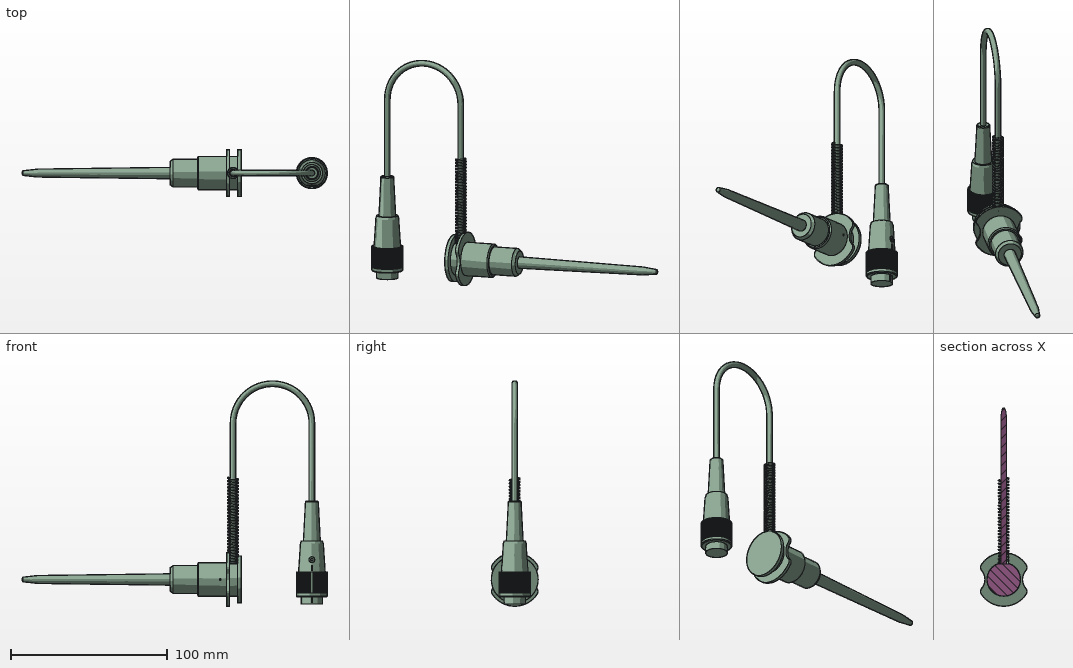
import cadquery as cq
import math


TIP_LENGTH = 10.1
TIP_END_DIA = 3.1
TIP_ROOT_DIA = 5.3
TIP_DOME_HEIGHT = 0.5
SHANK_DIA = 7.4
SHANK_START = 92.3

NOSE_START = 94.5
NOSE_DIA = 18.0
NOSE_CHAMFER_LENGTH = 2.0
NOSE_FACE_DIA = 15.0
BARREL_START = 111.8
BARREL_DIA = 21.5
BARREL_CHAMFER = 0.8
MARK_HOLE_DIA = 1.0
MARK_HOLE_X = 126.4
MARK_HOLE_DEPTH = 1.0

PLATE_START = 130.5
PLATE_THICKNESS = 2.0
PLATE_DIA = 34.3
SCALLOP_RADIUS = 9.0
SCALLOP_BOTTOM = 12.0
PLATE_CORNER_RADIUS = 3.0
DISC_START = 137.5
HOUSING_END = 139.8
DISC_DIA = 30.0

CABLE_DIA = 3.7
CABLE_X = 134.5
CABLE_BEND_Z = 99.7
SEAT_DIA = 7.2
SEAT_Z = 10.0
SPRING_WIRE_DIA = 1.0
SPRING_OUTER_DIA = 7.0
SPRING_TOP = 65.2
SPRING_TURNS = 27

CONNECTOR_X = 184.8
BOOT_TOP = 50.0
BOOT_TOP_DIA = 8.4
BOOT_BASE_DIA = 10.9
BOOT_CHAMFER = 0.5
SHELL_TOP = 24.5
SHELL_TOP_DIA = 13.6
SHELL_SHOULDER_DIA = 14.8
SHELL_SHOULDER_DROP = 1.8
SHELL_BASE = 4.7
SHELL_BASE_DIA = 17.1
PLUG_DIA = 13.8
PLUG_END = -15.8
SCREW_Z = 12.7
SCREW_HOLE_DIA = 3.7
SCREW_DEPTH = 0.4
SCREW_SOCKET_DIA = 1.5
SCREW_SOCKET_DEPTH = 1.4
SHELL_SLOT_Z = 7.4
SHELL_SLOT_HEIGHT = 3.3
PLUG_SLOT_Z = -12.8
PLUG_SLOT_HEIGHT = 3.5
SLOT_WIDTH = 0.5
SLOT_DEPTH = 0.5

RING_DIA = 19.9
RING_BOTTOM = -11.0
RING_CHAMFER = 0.5
KNURL_BOTTOM = -8.5
KNURL_COUNT = 84
KNURL_DEPTH = 0.5


def turned(profile, axis="X"):
    """Solid of revolution about the X or Z axis from (position along the axis, radius) points."""
    points = [(profile[0][0], 0)] + profile + [(profile[-1][0], 0)]
    if axis == "X":
        return cq.Workplane("XY").polyline(points).close().revolve(360, (0, 0), (1, 0))
    upright_points = [(radius, height) for height, radius in points]
    return cq.Workplane("XZ").polyline(upright_points).close().revolve(360, (0, 0), (0, 1))


def make_probe():
    dome_radius = (TIP_END_DIA**2 / 4 + TIP_DOME_HEIGHT**2) / (2 * TIP_DOME_HEIGHT)
    half_angle = math.asin(TIP_END_DIA / 2 / dome_radius) / 2
    dome_middle_x = dome_radius * (1 - math.cos(half_angle))
    dome_middle_radius = dome_radius * math.sin(half_angle)
    return (
        cq.Workplane("XY")
        .moveTo(TIP_DOME_HEIGHT, TIP_END_DIA / 2)
        .lineTo(TIP_LENGTH, TIP_ROOT_DIA / 2)
        .lineTo(SHANK_START, SHANK_DIA / 2)
        .lineTo(NOSE_START, SHANK_DIA / 2)
        .lineTo(NOSE_START, 0)
        .lineTo(0, 0)
        .threePointArc((dome_middle_x, dome_middle_radius), (TIP_DOME_HEIGHT, TIP_END_DIA / 2))
        .close()
        .revolve(360, (0, 0), (1, 0))
    )


def make_finger_plate():
    scallop_offset = SCALLOP_BOTTOM + SCALLOP_RADIUS
    scallops = (
        cq.Workplane("YZ", origin=(PLATE_START, 0, 0))
        .pushPoints([(-scallop_offset, 0), (scallop_offset, 0)])
        .circle(SCALLOP_RADIUS)
        .extrude(PLATE_THICKNESS)
    )
    plate = cq.Workplane("YZ", origin=(PLATE_START, 0, 0)).circle(PLATE_DIA / 2).extrude(PLATE_THICKNESS)
    corner_y = (PLATE_DIA**2 / 4 - SCALLOP_RADIUS**2 + scallop_offset**2) / (2 * scallop_offset)
    corner_z = math.sqrt(PLATE_DIA**2 / 4 - corner_y**2)
    corner_box = cq.selectors.BoxSelector(
        (PLATE_START, -PLATE_DIA / 2, -corner_z - PLATE_CORNER_RADIUS),
        (PLATE_START + PLATE_THICKNESS, PLATE_DIA / 2, corner_z + PLATE_CORNER_RADIUS),
    )
    return plate.cut(scallops).edges("|X").edges(corner_box).fillet(PLATE_CORNER_RADIUS)


def make_housing():
    body = turned([
        (NOSE_START, NOSE_FACE_DIA / 2),
        (NOSE_START + NOSE_CHAMFER_LENGTH, NOSE_DIA / 2),
        (BARREL_START, NOSE_DIA / 2),
        (BARREL_START, BARREL_DIA / 2 - BARREL_CHAMFER),
        (BARREL_START + BARREL_CHAMFER, BARREL_DIA / 2),
        (DISC_START, BARREL_DIA / 2),
        (DISC_START, DISC_DIA / 2),
        (HOUSING_END, DISC_DIA / 2),
    ])
    body = body.union(make_finger_plate())
    spring_seat = (
        cq.Workplane("XY", origin=(CABLE_X, 0, SEAT_Z)).circle(SEAT_DIA / 2).extrude(PLATE_DIA / 2)
    )
    mark_hole = (
        cq.Workplane("XZ", origin=(MARK_HOLE_X, -BARREL_DIA / 2 + MARK_HOLE_DEPTH, 0))
        .circle(MARK_HOLE_DIA / 2)
        .extrude(BARREL_DIA)
    )
    return body.cut(spring_seat).cut(mark_hole)


def make_cable():
    bend_top = CABLE_BEND_Z + (CONNECTOR_X - CABLE_X) / 2
    path = (
        cq.Workplane("XZ")
        .moveTo(CABLE_X, SEAT_Z)
        .lineTo(CABLE_X, CABLE_BEND_Z)
        .threePointArc(((CABLE_X + CONNECTOR_X) / 2, bend_top), (CONNECTOR_X, CABLE_BEND_Z))
        .lineTo(CONNECTOR_X, BOOT_TOP)
    )
    return cq.Workplane("XY", origin=(CABLE_X, 0, SEAT_Z)).circle(CABLE_DIA / 2).sweep(path)


def make_spring():
    coil_radius = (SPRING_OUTER_DIA - SPRING_WIRE_DIA) / 2
    coil_height = SPRING_TOP - SEAT_Z - SPRING_WIRE_DIA
    helix = cq.Wire.makeHelix(coil_height / SPRING_TURNS, coil_height, coil_radius)
    spring = (
        cq.Workplane("XZ", origin=(coil_radius, 0, 0))
        .circle(SPRING_WIRE_DIA / 2)
        .sweep(cq.Workplane(helix), isFrenet=True)
    )
    return spring.rotate((0, 0, 0), (0, 0, 1), 180).translate((CABLE_X, 0, SEAT_Z + SPRING_WIRE_DIA / 2))


def front_slot(outer_radius, center_z, height):
    """Cutter for a shallow slot in the -Y side of a turned connector part."""
    return cq.Workplane("XY").box(SLOT_WIDTH, 2 * SLOT_DEPTH, height).translate((0, -outer_radius, center_z))


def make_connector():
    body = turned([
        (PLUG_END, PLUG_DIA / 2),
        (SHELL_BASE, PLUG_DIA / 2),
        (SHELL_BASE, SHELL_BASE_DIA / 2),
        (SHELL_TOP - SHELL_SHOULDER_DROP, SHELL_SHOULDER_DIA / 2),
        (SHELL_TOP, SHELL_TOP_DIA / 2),
        (SHELL_TOP, BOOT_BASE_DIA / 2),
        (BOOT_TOP - BOOT_CHAMFER, BOOT_TOP_DIA / 2),
        (BOOT_TOP, BOOT_TOP_DIA / 2 - BOOT_CHAMFER),
    ], "Z")

    def shell_radius(z):
        height_share = (z - SHELL_BASE) / (SHELL_TOP - SHELL_SHOULDER_DROP - SHELL_BASE)
        return (SHELL_BASE_DIA + height_share * (SHELL_SHOULDER_DIA - SHELL_BASE_DIA)) / 2

    for diameter, depth in [(SCREW_HOLE_DIA, SCREW_DEPTH), (SCREW_SOCKET_DIA, SCREW_SOCKET_DEPTH)]:
        sunk_floor = (0, depth - shell_radius(SCREW_Z), SCREW_Z)
        body = body.cut(cq.Workplane("XZ", origin=sunk_floor).circle(diameter / 2).extrude(RING_DIA / 2))
    body = body.cut(front_slot(shell_radius(SHELL_SLOT_Z), SHELL_SLOT_Z, SHELL_SLOT_HEIGHT))
    body = body.cut(front_slot(PLUG_DIA / 2, PLUG_SLOT_Z, PLUG_SLOT_HEIGHT))
    return body.translate((CONNECTOR_X, 0, 0))


def knurl_outline():
    """Closed saw-tooth outline; one crest is left out for a flat rib in the middle of the -Y side."""
    points = []
    for half_step in range(2, 2 * KNURL_COUNT - 1):
        is_root = half_step % 2 == 1
        radius = RING_DIA / 2 - KNURL_DEPTH if is_root else RING_DIA / 2
        angle = math.pi * half_step / KNURL_COUNT - math.pi / 2
        points.append((radius * math.cos(angle), radius * math.sin(angle)))
    return points


def make_coupling_ring():
    knurled = (
        cq.Workplane("XY", origin=(0, 0, KNURL_BOTTOM))
        .polyline(knurl_outline())
        .close()
        .extrude(SHELL_BASE - KNURL_BOTTOM)
    )
    rim = turned([
        (RING_BOTTOM, RING_DIA / 2 - RING_CHAMFER),
        (RING_BOTTOM + RING_CHAMFER, RING_DIA / 2),
        (KNURL_BOTTOM, RING_DIA / 2),
    ], "Z")
    bore = cq.Workplane("XY", origin=(0, 0, RING_BOTTOM)).circle(PLUG_DIA / 2).extrude(SHELL_BASE - RING_BOTTOM)
    return knurled.union(rim).cut(bore).translate((CONNECTOR_X, 0, 0))


probe = make_probe()
housing = make_housing()
cable = make_cable()
spring = make_spring()
connector = make_connector()
coupling_ring = make_coupling_ring()

result = cq.Compound.makeCompound([
    probe.val(),
    housing.val(),
    cable.val(),
    spring.val(),
    connector.val(),
    coupling_ring.val(),
])